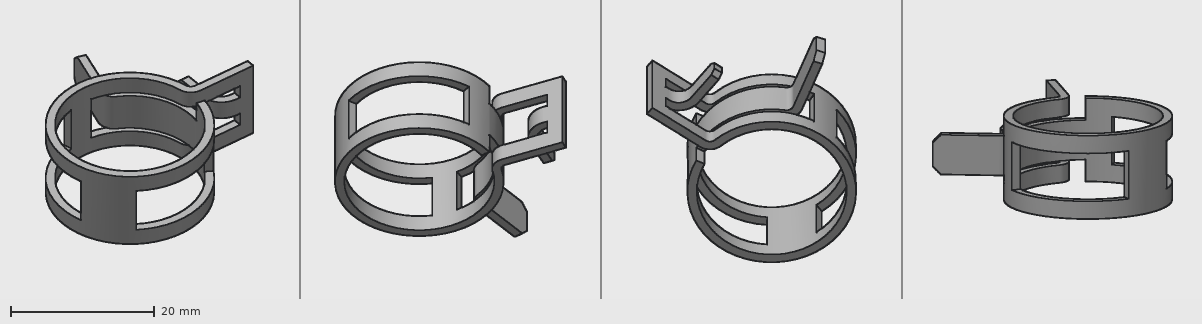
import cadquery as cq
import math


thickness = 1.3
inner_radius = 10.5
outer_radius = inner_radius + thickness
band_width = 12.0

split_angle = 43.2
slot_start_angle = 180 - split_angle
window_top_angle = 23.0
window_bottom_angle = -70.0

opening_width = 6.88
tongue_width = 5.72
hook_width = 2.87

leg_tilt = 37.0
leg_outer_offset = -0.138
leg_inner_offset = leg_outer_offset - thickness
leg_tip = 21.8
leg_bend_radius = 1.0
leg_solid_length = 2.32
slot_end = leg_tip - leg_solid_length
tongue_chamfer = 1.15

hook_bend_radius = 2.2
hook_inner_face = 16.65
hook_outer_face = hook_inner_face - thickness
hook_tip = -9.08
hook_chamfer = 0.75


def polar(radius, angle, center=(0, 0)):
    """Point at an angle in degrees on a circle."""
    turn = math.radians(angle)
    return (center[0] + radius * math.cos(turn), center[1] + radius * math.sin(turn))


def plate(outline, width):
    """Extrude a closed XY outline symmetrically about Z = 0."""
    return outline.close().extrude(width / 2, both=True)


def window_cutter():
    """Block reaching through the ring wall, with both ends cut radially."""
    near_radius = inner_radius - thickness
    far_radius = outer_radius + thickness
    middle = (window_bottom_angle + window_top_angle) / 2
    outline = (
        cq.Workplane("XY")
        .moveTo(*polar(near_radius, window_bottom_angle))
        .lineTo(*polar(far_radius, window_bottom_angle))
        .threePointArc(polar(far_radius, middle), polar(far_radius, window_top_angle))
        .lineTo(*polar(near_radius, window_top_angle))
        .threePointArc(polar(near_radius, middle), polar(near_radius, window_bottom_angle))
    )
    return plate(outline, opening_width)


def upright_strip(ring_end, tip, width):
    """Ring arc that bends outward into a leg parallel to Y.

    The ring end is the angle it takes once the leg is tilted.
    """
    ring_end += leg_tilt
    small_radius = leg_bend_radius
    large_radius = leg_bend_radius + thickness
    center_x = leg_inner_offset - small_radius
    center_distance = outer_radius + small_radius
    center_y = math.sqrt(center_distance**2 - center_x**2)
    center = (center_x, center_y)
    tangent_angle = math.degrees(math.atan2(center_y, center_x))
    ring_middle = (tangent_angle + ring_end) / 2
    bend_middle = (tangent_angle - 180) / 2

    outline = (
        cq.Workplane("XY")
        .moveTo(*polar(inner_radius, ring_end))
        .lineTo(*polar(outer_radius, ring_end))
        .threePointArc(polar(outer_radius, ring_middle), polar(outer_radius, tangent_angle))
        .threePointArc(polar(small_radius, bend_middle, center), (leg_inner_offset, center_y))
        .lineTo(leg_inner_offset, tip)
        .lineTo(leg_outer_offset, tip)
        .lineTo(leg_outer_offset, center_y)
        .threePointArc(
            polar(large_radius, bend_middle, center), polar(inner_radius, tangent_angle)
        )
        .threePointArc(polar(inner_radius, ring_middle), polar(inner_radius, ring_end))
    )
    return plate(outline, width)


def upright_hook():
    """Narrow strip from the slot end, bent square to the leg, with a chamfered tip."""
    center = (leg_inner_offset - hook_bend_radius, hook_inner_face + hook_bend_radius)
    bend_middle = -45
    outline = (
        cq.Workplane("XY")
        .moveTo(leg_outer_offset, slot_end)
        .lineTo(leg_inner_offset, slot_end)
        .lineTo(leg_inner_offset, center[1])
        .threePointArc(polar(hook_bend_radius, bend_middle, center), (center[0], hook_inner_face))
        .lineTo(hook_tip, hook_inner_face)
        .lineTo(hook_tip, hook_outer_face)
        .lineTo(center[0], hook_outer_face)
        .threePointArc(
            polar(hook_bend_radius + thickness, bend_middle, center),
            (leg_outer_offset, center[1]),
        )
    )
    return plate(outline, hook_width).faces("<X").edges("|Y").chamfer(hook_chamfer)


def tilt(upright):
    """Lean an upright leg toward +X about the ring axis."""
    return upright.rotate((0, 0, 0), (0, 0, 1), -leg_tilt)


strip = upright_strip(360 + split_angle, leg_tip, band_width)

strip = strip.cut(upright_strip(slot_start_angle, slot_end, opening_width))
strip = tilt(strip.union(upright_hook()))

window = window_cutter()
strip = strip.cut(window).cut(window.mirror("YZ"))

tongue = upright_strip(slot_start_angle, leg_tip, tongue_width)
tongue = tongue.faces(">Y").edges("|X").chamfer(tongue_chamfer)
tongue = tilt(tongue).mirror("YZ")

result = strip.union(tongue)